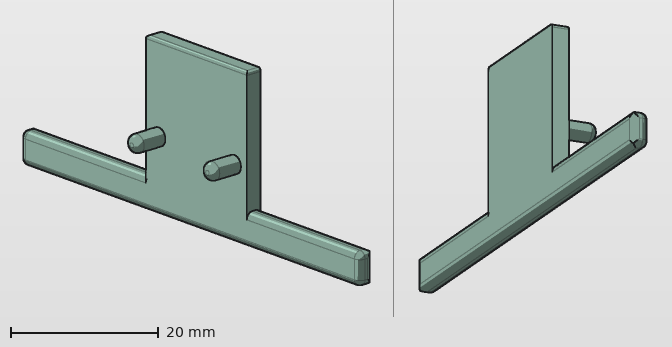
import cadquery as cq

bar_length = 68.0
bar_height = 5.0
thickness = 2.5
bar_fillet = 1.0

overall_height = 25.2
plate_bottom = bar_fillet
plate_width = 20.25
plate_center_x = 1.35
plate_top_fillet = 0.5

overall_depth = 7.5
pin_diameter = 2.7
pin_spacing = 15.15
pin_height = 11.3
pin_end_fillet = 1.0
pin_length = overall_depth - thickness


def make_bar():
    block = cq.Workplane("XY").box(bar_length, thickness, bar_height, centered=(True, True, False))
    front_rounded = block.edges("|Y or <Y").fillet(bar_fillet)
    back_rounded_lengthwise = block.edges("|X and >Y").fillet(bar_fillet)
    back_rounded_at_ends = block.edges("|Z and >Y").fillet(bar_fillet)
    bar = front_rounded.intersect(back_rounded_lengthwise).intersect(back_rounded_at_ends)
    return bar.translate((0, -thickness / 2, 0))


def make_plate():
    plate = (
        cq.Workplane("XY")
        .box(plate_width, thickness, overall_height - plate_bottom, centered=(True, True, False))
        .faces(">Z")
        .edges("<Y or |Y")
        .fillet(plate_top_fillet)
    )
    return plate.translate((plate_center_x, -thickness / 2, plate_bottom))


def make_pin(x):
    return (
        cq.Workplane("XZ", origin=(x, -thickness, pin_height))
        .circle(pin_diameter / 2)
        .extrude(pin_length)
        .faces("<Y")
        .edges()
        .fillet(pin_end_fillet)
    )


result = make_bar().union(make_plate())
for side in (-1, 1):
    result = result.union(make_pin(plate_center_x + side * pin_spacing / 2))